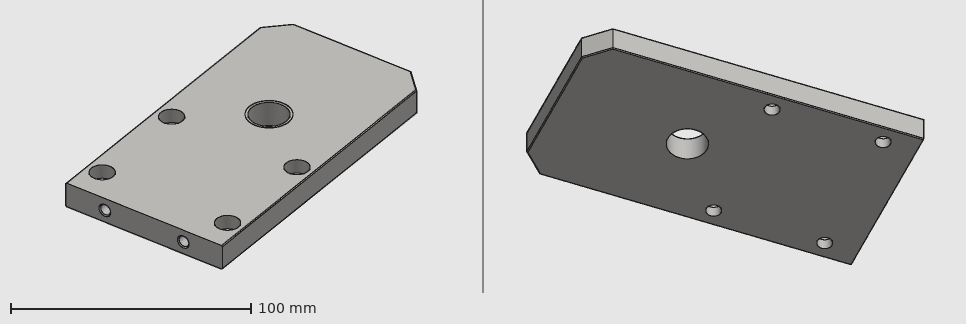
import cadquery as cq
import math

length = 150.0
width = length * 8 / 15
thickness = length * 2 / 25
corner_cut = length / 15
edge_chamfer = 0.5

bore_diameter = 17.5
bore_from_front = length * 0.6
spot_diameter = 20.0
spot_depth = 0.2

screw_diameter = 6.6
counterbore_diameter = 11.0
counterbore_depth = 6.8
screw_spacing_x = width * 0.8
screw_rows_from_front = (length * 0.1, length * 13 / 30)

end_hole_spacing = width / 2
end_hole_diameter = 5.0
end_mouth_diameter = 6.0
end_hole_depth = 15.0
drill_point_angle = 118.0

front_y = -length / 2


def make_plate():
    """Plate with cut rear corners, chamfered on every long edge except at the front end."""
    plate = cq.Workplane("XY").box(width, length, thickness)
    plate = plate.edges("|Z and >Y").chamfer(corner_cut)
    rim = plate.faces("|Z").edges("not <Y")
    return rim.chamfer(edge_chamfer)


def vertical_cylinder(x, y, diameter, depth):
    """Cutter reaching down from the top face."""
    top = cq.Workplane("XY").workplane(offset=thickness / 2)
    return top.center(x, y).circle(diameter / 2).extrude(-depth)


def end_hole_cutter(x):
    """Cutter for one end hole, turned around an axis parallel to Y."""
    radius = end_hole_diameter / 2
    mouth_radius = end_mouth_diameter / 2
    mouth_depth = mouth_radius - radius
    point_depth = radius / math.tan(math.radians(drill_point_angle / 2))
    profile = (
        cq.Workplane("XY", origin=(x, front_y, 0))
        .lineTo(mouth_radius, 0)
        .lineTo(radius, mouth_depth)
        .lineTo(radius, end_hole_depth)
        .lineTo(0, end_hole_depth + point_depth)
        .close()
    )
    return profile.revolve(360, (0, 0, 0), (0, 1, 0))


result = make_plate()

bore_y = front_y + bore_from_front
result = result.cut(vertical_cylinder(0, bore_y, bore_diameter, thickness))
result = result.cut(vertical_cylinder(0, bore_y, spot_diameter, spot_depth))

for side in (-1, 1):
    screw_x = side * screw_spacing_x / 2
    for row in screw_rows_from_front:
        screw_y = front_y + row
        result = result.cut(vertical_cylinder(screw_x, screw_y, screw_diameter, thickness))
        result = result.cut(vertical_cylinder(screw_x, screw_y, counterbore_diameter, counterbore_depth))
    result = result.cut(end_hole_cutter(side * end_hole_spacing / 2))